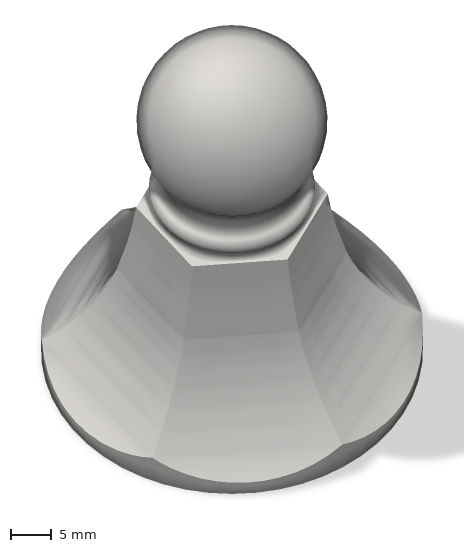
import math

import cadquery as cq

BASE_RADIUS = 23.495
TOTAL_HEIGHT = 54.61

SIDES = 6
SKIRT_TOP = 27.94
SKIRT_TOP_APOTHEM = 10.24
BEND_HEIGHT = 16.76
BEND_APOTHEM = 12.3
RIM_HEIGHT = 2.03
UPPER_FLARE_RADIUS = 76.2
LOWER_FLARE_RADIUS = 25.4

BALL_RADIUS = 11.77
BALL_CENTER = TOTAL_HEIGHT - BALL_RADIUS
NECK_RADIUS = 8.65
NECK_BOTTOM = 33.02

BEAD_CENTER = 30.4
BEAD_RADIUS = 10.22
BEAD_SECTION_RADIUS = 1.27

COLLAR_RADIUS = 9.525
COLLAR_FILLET = 0.56


def make_skirt():
    """Six-sided skirt with hollow-curved flats, trimmed by the round base."""
    cutter_reach = 2 * BASE_RADIUS
    cutter = (
        cq.Workplane("YZ")
        .moveTo(SKIRT_TOP_APOTHEM, SKIRT_TOP)
        .radiusArc((BEND_APOTHEM, BEND_HEIGHT), -UPPER_FLARE_RADIUS)
        .radiusArc((BASE_RADIUS, RIM_HEIGHT), -LOWER_FLARE_RADIUS)
        .lineTo(cutter_reach, RIM_HEIGHT)
        .lineTo(cutter_reach, SKIRT_TOP)
        .close()
        .extrude(cutter_reach, both=True)
    )
    skirt = cq.Workplane("XY").circle(BASE_RADIUS).extrude(SKIRT_TOP)
    for side in range(SIDES):
        skirt = skirt.cut(cutter.rotate((0, 0, 0), (0, 0, 1), side * 360 / SIDES))
    return skirt


def make_finial():
    """Turned collar, bead, neck and ball, standing on the skirt."""
    bead_axis_radius = BEAD_RADIUS - BEAD_SECTION_RADIUS
    rise = NECK_BOTTOM - BEAD_CENTER
    inset = bead_axis_radius - NECK_RADIUS
    cove_radius = (rise**2 + inset**2 - BEAD_SECTION_RADIUS**2) / (2 * (BEAD_SECTION_RADIUS + inset))
    bead_share = BEAD_SECTION_RADIUS / (BEAD_SECTION_RADIUS + cove_radius)
    bead_top = (bead_axis_radius + (cove_radius - inset) * bead_share, BEAD_CENTER + rise * bead_share)

    bead_bottom = BEAD_CENTER - math.sqrt(BEAD_SECTION_RADIUS**2 - (COLLAR_RADIUS - bead_axis_radius) ** 2)
    neck_top = BALL_CENTER - math.sqrt(BALL_RADIUS**2 - NECK_RADIUS**2)
    return (
        cq.Workplane("XZ")
        .moveTo(0, SKIRT_TOP)
        .lineTo(COLLAR_RADIUS + COLLAR_FILLET, SKIRT_TOP)
        .radiusArc((COLLAR_RADIUS, SKIRT_TOP + COLLAR_FILLET), COLLAR_FILLET)
        .lineTo(COLLAR_RADIUS, bead_bottom)
        .threePointArc((BEAD_RADIUS, BEAD_CENTER), bead_top)
        .radiusArc((NECK_RADIUS, NECK_BOTTOM), cove_radius)
        .lineTo(NECK_RADIUS, neck_top)
        .threePointArc((BALL_RADIUS, BALL_CENTER), (0, TOTAL_HEIGHT))
        .close()
        .revolve(360, (0, 0), (0, 1))
    )


result = make_skirt().union(make_finial())